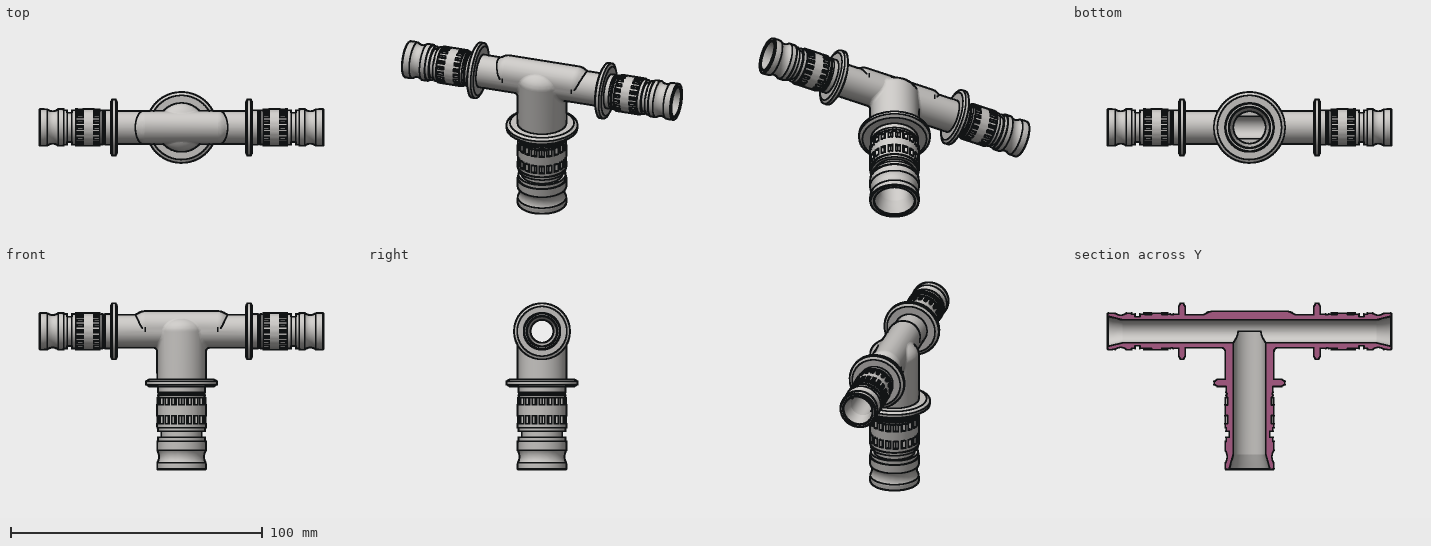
import cadquery as cq
import math

run_length = 113.0
branch_end_drop = 55.0

run_tube_radius = 6.6
pad_half_length = 14.5
pad_rise = 1.5
pad_shoulder_length = 2.4
pad_shoulder_drop = 0.7
pad_nose_length = 4.4
pad_nose_drop = 1.8

branch_tube_radius = 9.75
dome_height = 6.2
crotch_blend_radius = 1.4

groove_count = 20
grooves_per_quarter = groove_count // 4

end_chamfer = 0.35
rim_taper = 0.1
bore_chamfer = 0.3
mouth_depth = 6.0

run_spigot = {
    "sleeve_radius": 7.35,
    "land_radius": 6.9,
    "recess_radius": 5.85,
    "waist_radius": 6.5,
    "neck_radius": 6.6,
    "ledge_radius": 6.8,
    "rim_edge_at": 1.8,
    "waist_start_at": 3.18,
    "waist_end_at": 7.55,
    "collar_end_at": 9.65,
    "recess_start_at": 11.1,
    "recess_end_at": 12.9,
    "sleeve_start_at": 14.4,
    "bands_at": ((15.0, 17.5), (21.7, 24.0)),
    "ridge_at": 25.0,
    "neck_at": 25.65,
    "shank_start_at": 26.3,
    "flange_start_at": 28.3,
    "flange_end_at": 31.0,
    "flange_radius": 11.17,
    "flange_bevel_width": 1.3,
    "flange_bevel_height": 0.65,
    "wide_groove_width": 1.35,
    "groove_width": 1.15,
    "groove_depth": 0.6,
    "bore_radius": 4.5,
    "bore_mouth_radius": 5.9,
}
branch_spigot = {
    "sleeve_radius": 9.75,
    "land_radius": 9.4,
    "recess_radius": 8.1,
    "waist_radius": 9.0,
    "neck_radius": 9.0,
    "ledge_radius": 9.1,
    "rim_edge_at": 2.07,
    "waist_start_at": 2.76,
    "waist_end_at": 7.7,
    "collar_end_at": 11.26,
    "recess_start_at": 12.96,
    "recess_end_at": 15.24,
    "sleeve_start_at": 16.57,
    "bands_at": ((18.3, 21.5), (25.75, 28.6)),
    "ridge_at": 29.6,
    "neck_at": 30.1,
    "shank_start_at": 30.8,
    "flange_start_at": 33.0,
    "flange_end_at": 36.0,
    "flange_radius": 14.15,
    "flange_bevel_width": 1.4,
    "flange_bevel_height": 0.85,
    "wide_groove_width": 2.4,
    "groove_width": 2.0,
    "groove_depth": 0.95,
    "bore_radius": 6.4,
    "bore_mouth_radius": 8.0,
}


def spigot_body(s):
    """Turned spigot with its open end at Z = 0, reaching up to the far face of the flange."""
    sleeve = s["sleeve_radius"]
    land = s["land_radius"]
    rim_corner_radius = sleeve - rim_taper
    waist_middle = (s["waist_start_at"] + s["waist_end_at"]) / 2
    sleeve_end = s["bands_at"][-1][1]
    flange_face_radius = s["flange_radius"] - s["flange_bevel_width"]
    flange_edge_start = s["flange_start_at"] + s["flange_bevel_height"]
    flange_edge_end = s["flange_end_at"] - s["flange_bevel_height"]
    return (
        cq.Workplane("XZ")
        .moveTo(0, 0)
        .lineTo(sleeve - end_chamfer, 0)
        .lineTo(sleeve, end_chamfer)
        .lineTo(sleeve, s["rim_edge_at"])
        .lineTo(rim_corner_radius, s["waist_start_at"])
        .threePointArc((s["waist_radius"], waist_middle), (sleeve, s["waist_end_at"]))
        .lineTo(sleeve, s["collar_end_at"])
        .lineTo(land, s["collar_end_at"])
        .lineTo(land, s["recess_start_at"])
        .lineTo(s["recess_radius"], s["recess_start_at"])
        .lineTo(s["recess_radius"], s["recess_end_at"])
        .lineTo(land, s["recess_end_at"])
        .lineTo(land, s["sleeve_start_at"])
        .lineTo(sleeve, s["sleeve_start_at"])
        .lineTo(sleeve, sleeve_end)
        .lineTo(s["ledge_radius"], sleeve_end)
        .lineTo(land, s["ridge_at"])
        .lineTo(s["neck_radius"], s["neck_at"])
        .lineTo(land, s["shank_start_at"])
        .lineTo(land, s["flange_start_at"])
        .lineTo(flange_face_radius, s["flange_start_at"])
        .lineTo(s["flange_radius"], flange_edge_start)
        .lineTo(s["flange_radius"], flange_edge_end)
        .lineTo(flange_face_radius, s["flange_end_at"])
        .lineTo(0, s["flange_end_at"])
        .close()
        .revolve(360, (0, 0, 0), (0, 1, 0))
    )


def v_groove(s, width, start, end):
    """One V groove at angle 0, running along the spigot axis from start to end."""
    root = s["sleeve_radius"] - s["groove_depth"]
    overshoot = 2.0
    mouth = root + s["groove_depth"] * overshoot
    mouth_half_width = width / 2 * overshoot
    return (
        cq.Workplane("XY", origin=(0, 0, start))
        .moveTo(root, 0)
        .lineTo(mouth, mouth_half_width)
        .lineTo(mouth, -mouth_half_width)
        .close()
        .extrude(end - start)
    )


def knurl_grooves(s):
    """Grooves of both bands, spaced evenly, with a wider one at each quarter turn."""
    grooves = []
    for start, end in s["bands_at"]:
        for index in range(groove_count):
            at_quarter_turn = index % grooves_per_quarter == 0
            width = s["wide_groove_width"] if at_quarter_turn else s["groove_width"]
            angle = index * 360 / groove_count
            groove = v_groove(s, width, start, end).rotate((0, 0, 0), (0, 0, 1), angle)
            grooves.append(groove.val())
    return grooves


def spigot(s):
    """Solid spigot with its knurl cut."""
    body = spigot_body(s).val()
    return cq.Workplane(body.cut(*knurl_grooves(s)))


def bore(s, depth):
    """Bore with a chamfered, tapered mouth, starting at Z = 0."""
    return (
        cq.Workplane("XZ")
        .moveTo(0, 0)
        .lineTo(s["bore_mouth_radius"] + bore_chamfer, 0)
        .lineTo(s["bore_mouth_radius"], bore_chamfer)
        .lineTo(s["bore_radius"], mouth_depth)
        .lineTo(s["bore_radius"], depth)
        .lineTo(0, depth)
        .close()
        .revolve(360, (0, 0, 0), (0, 1, 0))
    )


def on_left_run(shape):
    """Turn a shape built along +Z so that it starts at the -X end of the run."""
    return shape.rotate((0, 0, 0), (0, 1, 0), 90).translate((-run_length / 2, 0, 0))


def on_branch(shape):
    """Move a shape built along +Z to the lower end of the branch."""
    return shape.translate((0, 0, -branch_end_drop))


def run_tube():
    """Plain tube between the two run flanges."""
    half = run_length / 2 - run_spigot["flange_start_at"]
    return cq.Workplane("YZ", origin=(-half, 0, 0)).circle(run_tube_radius).extrude(2 * half)


def crown_pad():
    """Raised pad with tapered noses, and flat sides down to the run axis."""
    shoulder_radius = run_tube_radius - pad_shoulder_drop
    shoulder_end = pad_half_length + pad_shoulder_length
    nose_radius = run_tube_radius - pad_nose_drop
    nose_end = pad_half_length + pad_nose_length
    arc_radius = (pad_shoulder_length**2 + pad_shoulder_drop**2) / (2 * pad_shoulder_drop)
    half_sweep = math.asin(pad_shoulder_length / arc_radius) / 2
    arc_middle = (
        pad_half_length + arc_radius * math.sin(half_sweep),
        run_tube_radius - arc_radius * (1 - math.cos(half_sweep)),
    )
    crown = (
        cq.Workplane("XY")
        .moveTo(-nose_end, 0)
        .lineTo(-nose_end, nose_radius)
        .lineTo(-shoulder_end, shoulder_radius)
        .threePointArc((-arc_middle[0], arc_middle[1]), (-pad_half_length, run_tube_radius))
        .lineTo(pad_half_length, run_tube_radius)
        .threePointArc(arc_middle, (shoulder_end, shoulder_radius))
        .lineTo(nose_end, nose_radius)
        .lineTo(nose_end, 0)
        .close()
        .revolve(360, (0, 0, 0), (1, 0, 0))
        .translate((0, 0, pad_rise))
    )
    sides = cq.Workplane("XY").box(
        2 * pad_half_length, 2 * run_tube_radius, pad_rise, centered=(True, True, False)
    )
    return crown.union(sides)


def branch_tube():
    """Branch tube above its flange, closed by a dome of elliptical profile."""
    bottom = branch_spigot["flange_start_at"] - branch_end_drop
    return (
        cq.Workplane("XZ")
        .moveTo(0, bottom)
        .lineTo(branch_tube_radius, bottom)
        .lineTo(branch_tube_radius, 0)
        .ellipseArc(branch_tube_radius, dome_height, 0, 90, startAtCurrent=True)
        .close()
        .revolve(360, (0, 0, 0), (0, 1, 0))
    )


def tee_body():
    """Run tube, pad and branch tube, with the branch blended into the run."""
    run = run_tube().union(crown_pad())
    body = run.union(branch_tube())
    margin = 0.1
    reach = branch_tube_radius + margin
    lowest = -run_tube_radius - margin
    near_branch = cq.selectors.BoxSelector(
        (-reach, -reach, lowest), (reach, reach, dome_height + margin), boundingbox=True
    )
    crotch = body.edges(near_branch).edges("%BSPLINE")
    return crotch.fillet(crotch_blend_radius)


left_spigot = on_left_run(spigot(run_spigot))
result = tee_body()
result = result.union(left_spigot).union(left_spigot.mirror("YZ"))
result = result.union(on_branch(spigot(branch_spigot)))

left_bore = on_left_run(bore(run_spigot, run_length / 2))
result = result.cut(left_bore).cut(left_bore.mirror("YZ"))
result = result.cut(on_branch(bore(branch_spigot, branch_end_drop)))